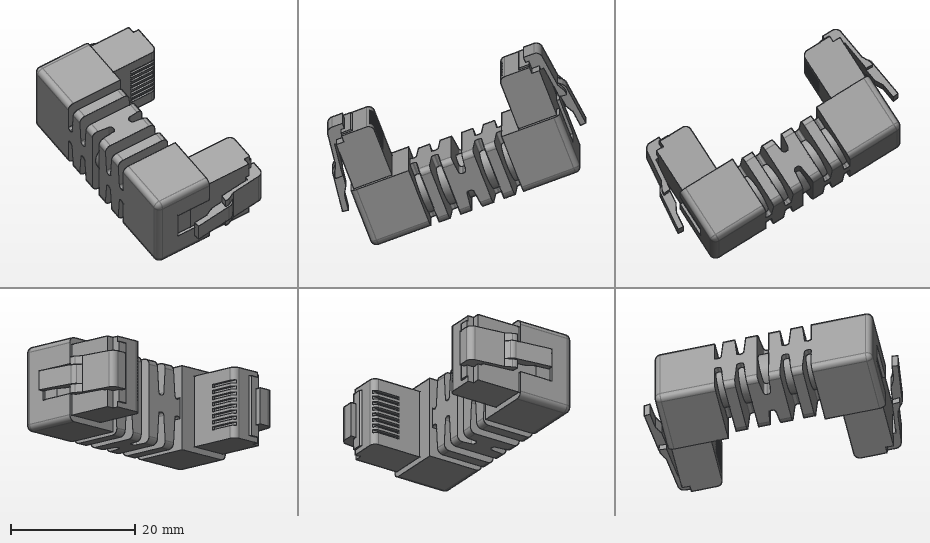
import cadquery as cq
import math

HOUSING_LENGTH = 35.98
HOUSING_DEPTH = 10.05
HOUSING_HEIGHT = 14.0
EDGE_RADIUS = 1.0
RELIEF_LENGTH = 16.0
RELIEF_DEPTH = 9.5

SLOT_SPACING = 3.75
SLOT_TIP_RADIUS = 0.5
SLOT_TIP_WIDTH = 1.1
SLOT_MOUTH_WIDTH = 1.93
WEB_HALF_THICKNESS = 1.43
CROSS_WEB_HALF_THICKNESS = 1.55
CROSS_WEB_Y = 5.0
CORE_RADIUS = 3.625
CORE_Y = 4.2

POCKET_WIDTH = 5.0
POCKET_START_Y = 4.0

PLUG_OUTER_X = 17.5
PLUG_WIDTH = 6.6
PLUG_HEIGHT = 11.8
PLUG_CENTER_Z = -0.105
PLUG_START_Y = 6.7
PLUG_END_Y = 19.05
PLUG_CORNER_RADIUS = 1.0
PLUG_NOTCH_X = 1.3
PLUG_NOTCH_Y = 1.05

PANEL_HEIGHT = 10.0
PANEL_WIDTH = 1.93
PANEL_RISE = 0.273

CONTACT_COUNT = 8
CONTACT_PITCH = 1.0
CONTACT_SLOT_WIDTH = 0.5
CONTACT_SLOT_DEPTH = 0.5
CONTACT_SLOT_LENGTH = 5.0

LATCH_WIDTH = 6.05
TAB_WIDTH = 3.2
LATCH_TOP_Y = 20.2
LATCH_HOOK_OVERHANG = 0.6
LATCH_CORNER_RADIUS = 1.1
LATCH_LEAN = math.tan(math.radians(7))
LATCH_TIP_X = 20.95
LATCH_TIP_Y = 6.0
LATCH_ROOT_Y = 17.35
LATCH_ROOT_GAP = 0.525
RAMP_TOP_Y = 13.9
RAMP_TOP_X = 19.1
ROOT_RAMP_END_X = 19.7
ROOT_RAMP_END_Y = 12.85
ROOT_END_X = 19.87
ROOT_END_Y = 11.9
ROOT_END_INNER_Y = 12.0
TAB_RAMP_END_Y = 13.3
TAB_RAMP_END_X = 19.8
TAB_ROUND_END_Y = 12.4
TAB_THICKNESS = 0.95
TAB_STEP_Y = 8.43
TAB_STEP_TOP_Y = 9.8

PLUG_INNER_X = PLUG_OUTER_X - PLUG_WIDTH
NOTCH_INNER_X = PLUG_OUTER_X - PLUG_NOTCH_X
NOTCH_START_Y = PLUG_END_Y - PLUG_NOTCH_Y
PANEL_TOP_Y = PLUG_END_Y + PANEL_RISE


def block(x_range, y_range, height, center_z=0.0):
    """Box between two X and two Y limits, centred on a Z level."""
    (x0, x1), (y0, y1) = x_range, y_range
    solid = cq.Workplane("XY").box(x1 - x0, y1 - y0, height, centered=(False, False, True))
    return solid.translate((x0, y0, center_z))


def prism(outline, height):
    """Extrude a closed XY outline symmetrically about the plug centre level."""
    return outline.close().extrude(height / 2, both=True).translate((0, 0, PLUG_CENTER_Z))


def relief_slot(tip, mouth):
    """Tapered, round-cornered slot along Y, opening upward between two heights."""
    outline = [
        (-SLOT_MOUTH_WIDTH / 2, mouth),
        (-SLOT_TIP_WIDTH / 2, tip),
        (SLOT_TIP_WIDTH / 2, tip),
        (SLOT_MOUTH_WIDTH / 2, mouth),
    ]
    slot = cq.Workplane("XZ").polyline(outline).close().extrude(HOUSING_HEIGHT, both=True)
    return slot.edges("|Y").edges("<Z").fillet(SLOT_TIP_RADIUS)


def strain_relief():
    half = RELIEF_LENGTH / 2
    relief = block((-half, half), (0, RELIEF_DEPTH), HOUSING_HEIGHT).edges("|X").fillet(EDGE_RADIUS)

    vertical_slot = relief_slot(WEB_HALF_THICKNESS, HOUSING_HEIGHT / 2)
    for step in (-2, -1, 1, 2):
        for angle in (0, 180):
            cutter = vertical_slot.rotate((0, 0, 0), (1, 0, 0), angle)
            relief = relief.cut(cutter.translate((step * SLOT_SPACING, CROSS_WEB_Y, 0)))

    cross_slot = relief_slot(CROSS_WEB_HALF_THICKNESS, CROSS_WEB_Y)
    for angle in (90, -90):
        cutter = cross_slot.rotate((0, 0, 0), (1, 0, 0), angle)
        relief = relief.cut(cutter.translate((0, CROSS_WEB_Y, 0)))

    core = cq.Workplane("YZ").center(CORE_Y, 0).circle(CORE_RADIUS).extrude(half, both=True)
    return relief.union(core)


def plug_block():
    """Plain plug envelope, also used as the socket in the housing."""
    return block((PLUG_INNER_X, PLUG_OUTER_X), (PLUG_START_Y, PLUG_END_Y), PLUG_HEIGHT, PLUG_CENTER_Z)


def housing_body():
    half = HOUSING_LENGTH / 2
    relief_half = RELIEF_LENGTH / 2
    ends = block((-half, half), (0, HOUSING_DEPTH), HOUSING_HEIGHT)
    ends = ends.edges("<Y or |Y").fillet(EDGE_RADIUS)
    ends = ends.cut(block((-relief_half, relief_half), (0, HOUSING_DEPTH), HOUSING_HEIGHT))
    body = ends.union(strain_relief())
    socket = plug_block()
    pocket = block((PLUG_OUTER_X, half), (POCKET_START_Y, HOUSING_DEPTH), POCKET_WIDTH)
    for opening in (socket, pocket):
        body = body.cut(opening).cut(opening.mirror("YZ"))
    return body


def plug_shell():
    """Plug body with its nose panel, corner notch and contact slots."""
    shell = plug_block().edges("|Z").edges(">Y").edges("<X").fillet(PLUG_CORNER_RADIUS)
    shell = shell.cut(
        block((NOTCH_INNER_X, PLUG_OUTER_X), (NOTCH_START_Y, PLUG_END_Y), PLUG_HEIGHT, PLUG_CENTER_Z)
    )
    panel_inner_x = NOTCH_INNER_X - PANEL_WIDTH
    panel = (
        cq.Workplane("XY")
        .moveTo(NOTCH_INNER_X, PLUG_END_Y)
        .lineTo(NOTCH_INNER_X, PANEL_TOP_Y)
        .lineTo(panel_inner_x + PANEL_RISE, PANEL_TOP_Y)
        .lineTo(panel_inner_x, PLUG_END_Y)
    )
    shell = shell.union(prism(panel, PANEL_HEIGHT))
    for index in range(CONTACT_COUNT):
        level = PLUG_CENTER_Z + (index - (CONTACT_COUNT - 1) / 2) * CONTACT_PITCH
        shell = shell.cut(
            block(
                (PLUG_INNER_X, PLUG_INNER_X + CONTACT_SLOT_DEPTH),
                (PLUG_END_Y - CONTACT_SLOT_LENGTH, PLUG_END_Y),
                CONTACT_SLOT_WIDTH,
                level,
            )
        )
    return shell


def latch_inner_x(y):
    """X of the leaning inner face of the latch at a given Y."""
    return PLUG_OUTER_X + LATCH_ROOT_GAP + (LATCH_ROOT_Y - y) * LATCH_LEAN


def latch_root():
    """Wide hook filling the plug notch, with the upper arm and its bulge."""
    top_outer_x = RAMP_TOP_X - (LATCH_TOP_Y - RAMP_TOP_Y) * LATCH_LEAN
    outline = (
        cq.Workplane("XY")
        .moveTo(top_outer_x, LATCH_TOP_Y)
        .lineTo(RAMP_TOP_X, RAMP_TOP_Y)
        .lineTo(ROOT_RAMP_END_X, ROOT_RAMP_END_Y)
        .tangentArcPoint((ROOT_END_X, ROOT_END_Y), relative=False)
        .lineTo(latch_inner_x(ROOT_END_INNER_Y), ROOT_END_INNER_Y)
        .lineTo(latch_inner_x(LATCH_ROOT_Y), LATCH_ROOT_Y)
        .lineTo(PLUG_OUTER_X, LATCH_ROOT_Y)
        .lineTo(PLUG_OUTER_X, NOTCH_START_Y)
        .lineTo(NOTCH_INNER_X, NOTCH_START_Y)
        .lineTo(NOTCH_INNER_X, PANEL_TOP_Y)
        .lineTo(NOTCH_INNER_X - LATCH_HOOK_OVERHANG, PANEL_TOP_Y)
        .lineTo(NOTCH_INNER_X - LATCH_HOOK_OVERHANG, LATCH_TOP_Y)
    )
    return prism(outline, LATCH_WIDTH).edges("|Z").edges(">Y").edges(">X").fillet(LATCH_CORNER_RADIUS)


def release_tab():
    """Narrow tab continuing the latch arm down to its tip."""

    def outer_x(y):
        return LATCH_TIP_X - (y - LATCH_TIP_Y) * LATCH_LEAN

    round_end = (outer_x(TAB_ROUND_END_Y), TAB_ROUND_END_Y)
    tip_inner_y = LATCH_TIP_Y - TAB_THICKNESS * LATCH_LEAN
    outline = (
        cq.Workplane("XY")
        .moveTo(*round_end)
        .lineTo(LATCH_TIP_X, LATCH_TIP_Y)
        .lineTo(LATCH_TIP_X - TAB_THICKNESS, tip_inner_y)
        .lineTo(outer_x(TAB_STEP_Y) - TAB_THICKNESS, TAB_STEP_Y)
        .lineTo(latch_inner_x(TAB_STEP_TOP_Y), TAB_STEP_TOP_Y)
        .lineTo(latch_inner_x(RAMP_TOP_Y), RAMP_TOP_Y)
        .lineTo(RAMP_TOP_X, RAMP_TOP_Y)
        .lineTo(TAB_RAMP_END_X, TAB_RAMP_END_Y)
        .tangentArcPoint(round_end, relative=False)
    )
    return prism(outline, TAB_WIDTH)


def plug_body(side):
    """One plug with its latch; side is +1 for the +X end and -1 for the -X end."""
    plug = plug_shell().union(latch_root()).union(release_tab())
    return plug if side > 0 else plug.mirror("YZ")


housing = housing_body()
plugs = [plug_body(side) for side in (-1, 1)]

result = cq.Compound.makeCompound([housing.val(), *[plug.val() for plug in plugs]])